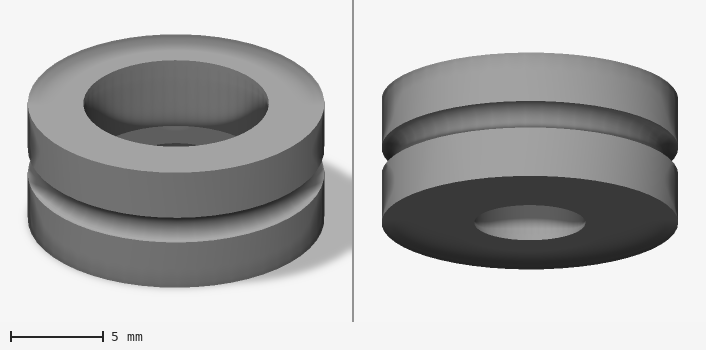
import cadquery as cq

outer_diameter = 16.0
height = 7.0

bore_diameter = 6.0
recess_diameter = 10.0
recess_depth = 4.0

groove_radius = 0.75


def make_ring():
    """Solid disc with the through hole and the top recess."""
    disc = cq.Workplane("XY").circle(outer_diameter / 2).extrude(height)
    return disc.faces(">Z").workplane().cboreHole(bore_diameter, recess_diameter, recess_depth)


def make_groove_cutter():
    """Torus whose tube is centred on the outer wall at mid-height."""
    return cq.Workplane("XY").add(
        cq.Solid.makeTorus(outer_diameter / 2, groove_radius, cq.Vector(0, 0, height / 2))
    )


result = make_ring().cut(make_groove_cutter())